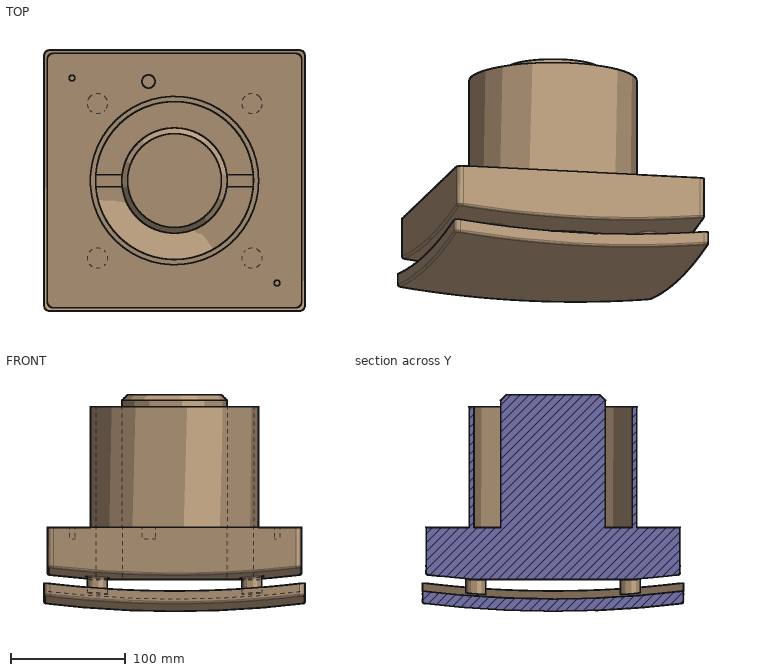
import cadquery as cq
import math


duct_radius = 73.5
duct_wall = 4.5
bore_radius = duct_radius - duct_wall
duct_height = 105.5
hub_radius = 46.0
hub_chamfer = 5.0
hub_projection = 10.5
hub_top = duct_height + hub_projection
rib_width = 10.5

dome_radius = 930.0
body_side = 222.0
body_depth = 48.0
plate_side = 228.0
plate_thickness = 11.0
overall_height = 189.3
plate_bottom = hub_top - overall_height
plate_top = plate_bottom + plate_thickness
corner_radius = 5.0
edge_fillet = 2.0

post_spacing = 135.0
post_radius = 8.8
post_fillet = 2.0

hole_depth = 10.0
screw_hole_diameter = 5.0
screw_offset = 89.5
cable_hole_diameter = 11.5
cable_hole_position = (-22.7, 86.5)

dome_sag_at_bore = dome_radius - math.sqrt(dome_radius**2 - bore_radius**2)
intake_rim = dome_sag_at_bore - body_depth


def cylinder(radius, bottom, top):
    """Solid cylinder on the Z axis between two heights."""
    return cq.Workplane("XY").workplane(offset=bottom).circle(radius).extrude(top - bottom)


def dome_ball(apex):
    """Ball whose lowest point lies on the Z axis at the given height."""
    return cq.Workplane("XY").sphere(dome_radius).translate((0, 0, apex + dome_radius))


def rounded_block(side, bottom, top):
    """Square block with rounded vertical corners."""
    block = cq.Workplane("XY").workplane(offset=bottom).rect(side, side).extrude(top - bottom)
    return block.edges("|Z").fillet(corner_radius)


def round_bottom_edges(solid):
    """Round the rim between the side walls and the domed underside."""
    return solid.faces("<Z").edges().fillet(edge_fillet)


def make_body():
    """Square body with a flat wall side and a domed underside."""
    block = rounded_block(body_side, -body_depth, 0)
    return round_bottom_edges(block.intersect(dome_ball(-body_depth)))


def make_plate():
    """Square plate curved by two equal domes, one below and one above."""
    block = rounded_block(plate_side, plate_bottom, 0)
    lens = round_bottom_edges(block.intersect(dome_ball(plate_bottom)))
    return lens.cut(dome_ball(plate_top))


def add_posts(body):
    """Four posts hanging from the body into the plate, filleted where they leave the dome."""
    posts = (
        cq.Workplane("XY")
        .workplane(offset=plate_top)
        .rect(post_spacing, post_spacing, forConstruction=True)
        .vertices()
        .circle(post_radius)
        .extrude(-body_depth / 2 - plate_top)
    )
    body = body.union(posts)

    inner = post_spacing / 2 - post_radius
    outer = post_spacing / 2 + post_radius
    for x_sign in (-1, 1):
        for y_sign in (-1, 1):
            root = cq.selectors.BoxSelector(
                (x_sign * inner, y_sign * inner, -body_depth),
                (x_sign * outer, y_sign * outer, -body_depth / 2),
            )
            body = body.edges(root).fillet(post_fillet)
    return body


def drill_blind_holes(body):
    """Two screw holes on a diagonal and one cable hole."""
    wall_face = cq.Workplane("XY")
    screw_positions = [(-screw_offset, screw_offset), (screw_offset, -screw_offset)]
    screw_holes = wall_face.pushPoints(screw_positions).circle(screw_hole_diameter / 2).extrude(-hole_depth)
    cable_hole = wall_face.center(*cable_hole_position).circle(cable_hole_diameter / 2).extrude(-hole_depth)
    return body.cut(screw_holes).cut(cable_hole)


def make_hub():
    """Motor hub with a chamfered end."""
    hub = cylinder(hub_radius, intake_rim, hub_top)
    return hub.faces(">Z").edges().chamfer(hub_chamfer)


def make_ribs():
    """Bar across the bore that carries the hub, from the intake rim up to the wall-side face."""
    span = bore_radius + duct_radius
    return cq.Workplane("XY").workplane(offset=intake_rim).rect(span, rib_width).extrude(-intake_rim)


def make_duct():
    """Solid duct cylinder, rooted in the body so that the two fuse."""
    return cylinder(duct_radius, intake_rim, duct_height)


housing = drill_blind_holes(add_posts(make_body()).union(make_duct()))
housing = housing.cut(cylinder(bore_radius, -body_depth, duct_height))
result = housing.union(make_ribs()).union(make_hub()).union(make_plate())